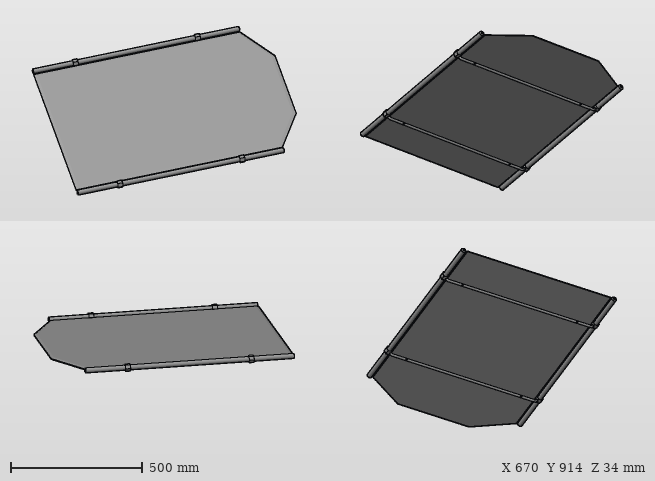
import cadquery as cq
import math

width = 670.0
length = 914.0
height = 34.0

panel_width = 611.0
panel_thickness = 5.5
panel_rim_thickness = 4.0
panel_bevel_width = 13.0
panel_rear_width = 304.0
panel_shoulder_length = 817.0
panel_front_y = -length / 2

rail_diameter = 20.0
rail_length = 820.0
rail_tip_diameter = 8.0
rail_tip_length = 3.0
rail_front_y = panel_front_y

collar_sides = 6
collar_across_flats = 26.0
collar_across_corners = collar_across_flats / math.cos(math.pi / collar_sides)
collar_width = 19.0
collar_rim_fillet = 2.0
collar_ys = (-288.0, 196.0)
rail_x = (width - collar_across_corners) / 2

cross_bar_diameter = 10.0
cross_bar_drop = height - (collar_across_flats + cross_bar_diameter) / 2
cross_bar_bend_radius = 12.0
cross_bar_end_x = 322.0
cross_bar_hole_diameter = 5.5
cross_bar_hole_x = 243.0


def make_panel():
    """Extrude the panel outline and bevel its top rim."""
    half_width = panel_width / 2
    half_rear = panel_rear_width / 2
    shoulder_y = panel_front_y + panel_shoulder_length
    rear_y = panel_front_y + length
    outline = [
        (-half_width, panel_front_y),
        (half_width, panel_front_y),
        (half_width, shoulder_y),
        (half_rear, rear_y),
        (-half_rear, rear_y),
        (-half_width, shoulder_y),
    ]
    sheet = (
        cq.Workplane("XY")
        .workplane(offset=-panel_thickness / 2)
        .polyline(outline)
        .close()
        .extrude(panel_thickness)
    )
    bevel_depth = panel_thickness - panel_rim_thickness
    return sheet.faces(">Z").edges().chamfer(bevel_depth, panel_bevel_width)


def make_rail(x):
    """Turn a round bar along Y that tapers at both tips."""
    radius = rail_diameter / 2
    tip_radius = rail_tip_diameter / 2
    half_profile = [
        (0, 0),
        (-tip_radius, 0),
        (-radius, rail_tip_length),
        (-radius, rail_length - rail_tip_length),
        (-tip_radius, rail_length),
        (0, rail_length),
    ]
    return (
        cq.Workplane("XY", origin=(x, rail_front_y, 0))
        .polyline(half_profile)
        .close()
        .revolve(360, (0, 0, 0), (0, 1, 0))
    )


def make_collar(x, y):
    """Hexagonal collar around a rail, with flats above and below and rounded rims."""
    return (
        cq.Workplane("XZ", origin=(x, y - collar_width / 2, 0))
        .polygon(collar_sides, collar_across_corners)
        .extrude(-collar_width)
        .faces("<Y or >Y")
        .edges()
        .fillet(collar_rim_fillet)
    )


def make_cross_bar(y):
    """Round bar from rail to rail: down at 45 degrees, across, and up again, with two cross holes."""
    half_bend = math.radians(45 / 2)
    corner_x = cross_bar_end_x - cross_bar_drop
    tangent_length = cross_bar_bend_radius * math.tan(half_bend)
    flat_end_x = corner_x - tangent_length
    bend_middle_x = flat_end_x + cross_bar_bend_radius * math.sin(half_bend)
    bend_middle_z = -cross_bar_drop + cross_bar_bend_radius * (1 - math.cos(half_bend))
    slope_start_x = corner_x + tangent_length * math.sqrt(0.5)
    slope_start_z = -cross_bar_drop + tangent_length * math.sqrt(0.5)
    path = (
        cq.Workplane("XZ", origin=(0, y, 0))
        .moveTo(-cross_bar_end_x, 0)
        .lineTo(-slope_start_x, slope_start_z)
        .threePointArc((-bend_middle_x, bend_middle_z), (-flat_end_x, -cross_bar_drop))
        .lineTo(flat_end_x, -cross_bar_drop)
        .threePointArc((bend_middle_x, bend_middle_z), (slope_start_x, slope_start_z))
        .lineTo(cross_bar_end_x, 0)
    )
    end_plane = cq.Plane(origin=(-cross_bar_end_x, y, 0), xDir=(0, 1, 0), normal=(1, 0, -1))
    bar = cq.Workplane(end_plane).circle(cross_bar_diameter / 2).sweep(path)
    holes = (
        cq.Workplane("XZ", origin=(0, y, -cross_bar_drop))
        .pushPoints([(-cross_bar_hole_x, 0), (cross_bar_hole_x, 0)])
        .circle(cross_bar_hole_diameter / 2)
        .extrude(cross_bar_diameter, both=True)
    )
    return bar.cut(holes)


def make_frame():
    """Join the rails, collars and cross bars into one body."""
    frame = make_rail(-rail_x).union(make_rail(rail_x))
    for y in collar_ys:
        frame = frame.union(make_cross_bar(y))
        for x in (-rail_x, rail_x):
            frame = frame.union(make_collar(x, y))
    return frame


panel = make_panel()
frame = make_frame()

result = cq.Compound.makeCompound([panel.val(), *frame.vals()])